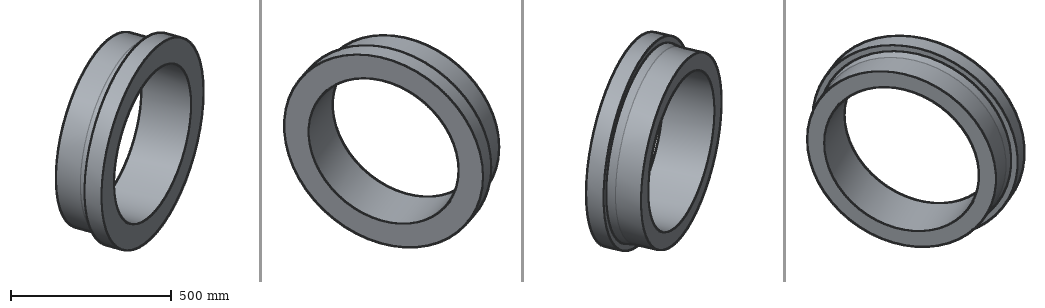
import cadquery as cq

flange_diameter = 685.0
neck_diameter = 630.0
taper_end_diameter = 642.0
bore_diameter = 516.0

total_length = 175.0
flange_thickness = 59.5
taper_length = 29.0

flange_start = total_length - flange_thickness
taper_start = flange_start - taper_length

half_section = (
    cq.Workplane("XY")
    .moveTo(0, bore_diameter / 2)
    .lineTo(0, neck_diameter / 2)
    .lineTo(taper_start, neck_diameter / 2)
    .lineTo(flange_start, taper_end_diameter / 2)
    .lineTo(flange_start, flange_diameter / 2)
    .lineTo(total_length, flange_diameter / 2)
    .lineTo(total_length, bore_diameter / 2)
    .close()
)

result = half_section.revolve(360, (0, 0, 0), (1, 0, 0))